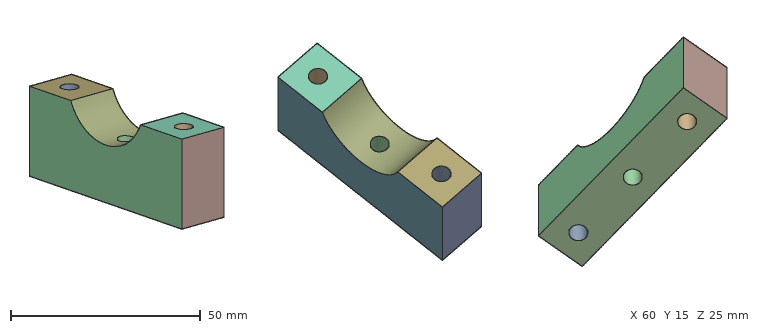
import cadquery as cq

length = 60.0
width = 15.0
height = 25.0

saddle_radius = 15.0
saddle_axis_rise = 6.0

hole_diameter = 5.0
hole_spacing = 22.5

block = cq.Workplane("XY").box(length, width, height, centered=(True, True, False))

saddle = (
    cq.Workplane("XZ")
    .center(0, height + saddle_axis_rise)
    .circle(saddle_radius)
    .extrude(width / 2, both=True)
)

holes = (
    cq.Workplane("XY")
    .rarray(hole_spacing, 0.6, 3, 1)
    .circle(hole_diameter / 2)
    .extrude(height)
)

result = block.cut(saddle).cut(holes)